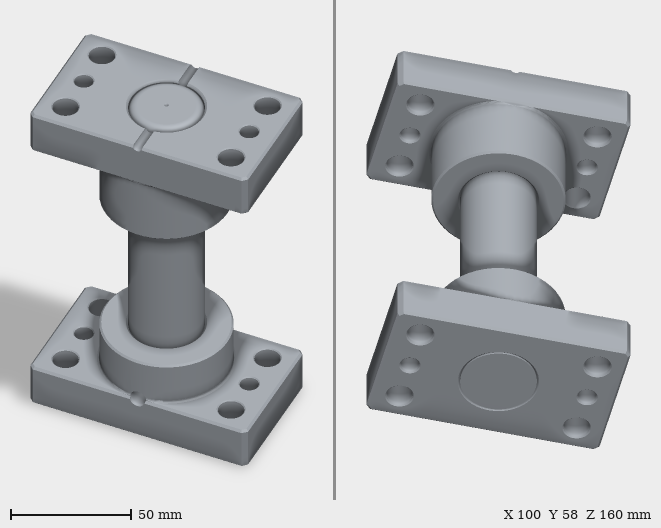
import cadquery as cq
import math

total_height = 160.0
plate_length = 100.0
plate_thickness = 20.0
plate_corner_chamfer = 2.0
plate_edge_chamfer = 1.0

post_diameter = 32.0
post_protrusion = 0.5
post_end_radius = 3.7
center_mark_diameter = 2.0
center_mark_depth = 1.0

hub_diameter = 56.0
hub_end_chamfer = 0.8
hub_base_fillet = 1.0
lower_hub_height = 20.0
upper_hub_height = 30.0
bore_chamfer = 1.0

hole_spacing_x = 76.0
hole_spacing_y = 36.0
screw_hole_diameter = 11.0
dowel_hole_diameter = 8.0
hole_chamfer = 0.5

vent_hole_diameter = 7.0
vent_groove_radius = 2.0

post_radius = post_diameter / 2
hub_radius = hub_diameter / 2
plate_width = hub_diameter + 2 * plate_edge_chamfer
upper_plate_top = total_height - post_protrusion


def make_plate():
    """Chamfered plate from z = 0 up to its hub face."""
    return (
        cq.Workplane("XY")
        .box(plate_length, plate_width, plate_thickness, centered=(True, True, False))
        .edges("|Z")
        .chamfer(plate_corner_chamfer)
        .faces("<Z or >Z")
        .edges()
        .chamfer(plate_edge_chamfer)
    )


def make_hub(hub_height):
    """Hub with a chamfered end and a concave base fillet kept inside the plate's flat face."""
    hub_top = plate_thickness + hub_height
    fillet_offset = hub_base_fillet * (1 - math.cos(math.radians(45)))
    hub = (
        cq.Workplane("XZ")
        .moveTo(0, plate_thickness)
        .lineTo(hub_radius + hub_base_fillet, plate_thickness)
        .threePointArc(
            (hub_radius + fillet_offset, plate_thickness + fillet_offset),
            (hub_radius, plate_thickness + hub_base_fillet),
        )
        .lineTo(hub_radius, hub_top - hub_end_chamfer)
        .lineTo(hub_radius - hub_end_chamfer, hub_top)
        .lineTo(0, hub_top)
        .close()
        .revolve()
    )
    flat_face_prism = (
        cq.Workplane("XY")
        .workplane(offset=plate_thickness)
        .rect(plate_length, plate_width - 2 * plate_edge_chamfer)
        .extrude(hub_height)
    )
    return hub.intersect(flat_face_prism)


def make_chamfered_hole(x, y, diameter, depth, chamfer):
    """Cutter for a hole from z = 0 up to depth, widened by a chamfer at both ends."""
    radius = diameter / 2
    return (
        cq.Workplane("XZ")
        .lineTo(radius + chamfer, 0)
        .lineTo(radius, chamfer)
        .lineTo(radius, depth - chamfer)
        .lineTo(radius + chamfer, depth)
        .lineTo(0, depth)
        .close()
        .revolve()
        .translate((x, y, 0))
    )


def make_block(hub_height):
    """Plate and hub in one piece, plate down, with the post bore and mounting holes."""
    block = make_plate().union(make_hub(hub_height))
    block_height = plate_thickness + hub_height
    block = block.cut(make_chamfered_hole(0, 0, post_diameter, block_height, bore_chamfer))
    for side_x in (-1, 1):
        x = side_x * hole_spacing_x / 2
        block = block.cut(make_chamfered_hole(x, 0, dowel_hole_diameter, plate_thickness, hole_chamfer))
        for side_y in (-1, 1):
            y = side_y * hole_spacing_y / 2
            block = block.cut(make_chamfered_hole(x, y, screw_hole_diameter, plate_thickness, hole_chamfer))
    return block


def make_lower_block():
    """Lower block with a vent hole from its -Y side into the bore, level with the plate face."""
    vent_hole = (
        cq.Workplane("XZ")
        .center(0, plate_thickness)
        .circle(vent_hole_diameter / 2)
        .extrude(plate_width)
    )
    return make_block(lower_hub_height).cut(vent_hole)


def make_upper_block():
    """Upper block, hub down, with a half-round vent groove across its top face."""
    block = (
        make_block(upper_hub_height)
        .rotate((0, 0, 0), (1, 0, 0), 180)
        .translate((0, 0, upper_plate_top))
    )
    vent_groove = (
        cq.Workplane("XZ")
        .moveTo(-vent_groove_radius, upper_plate_top)
        .threePointArc((0, upper_plate_top - vent_groove_radius), (vent_groove_radius, upper_plate_top))
        .close()
        .extrude(plate_width, both=True)
    )
    return block.cut(vent_groove)


def make_guide_post():
    """Post through both blocks, with a rounded top end and a conical center mark."""
    post = (
        cq.Workplane("XY")
        .circle(post_radius)
        .extrude(total_height)
        .faces(">Z")
        .edges()
        .fillet(post_end_radius)
    )
    center_mark = (
        cq.Workplane("XZ")
        .moveTo(0, total_height - center_mark_depth)
        .lineTo(center_mark_diameter / 2, total_height)
        .lineTo(0, total_height)
        .close()
        .revolve()
    )
    return post.cut(center_mark)


lower_block = make_lower_block()
upper_block = make_upper_block()
guide_post = make_guide_post()

result = cq.Compound.makeCompound(
    [lower_block.solids().val(), upper_block.solids().val(), guide_post.solids().val()]
)